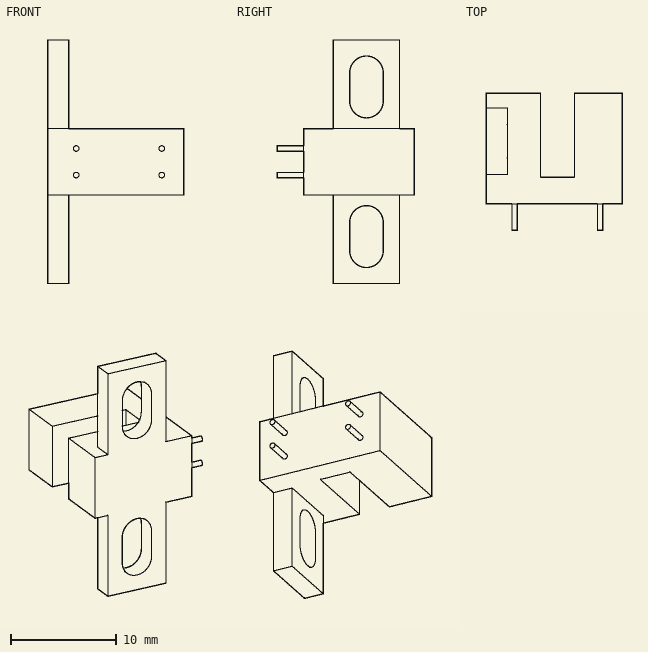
import cadquery as cq

body_width = 12.95
body_depth = 10.5
body_height = 6.32

gap_start = 5.19
gap_width = 3.2
gap_depth = 7.99

flange_height = 23.15
flange_width = 6.32
flange_thickness = 2.01
flange_front = 2.8
flange_center = flange_front + flange_width / 2

hole_width = 3.17
hole_length = 5.85
hole_offset = 7.1

lead_diameter = 0.53
lead_length = 2.52
lead_start = 2.7
lead_spacing_x = 8.13
lead_spacing_z = 2.52


def make_body():
    """U-shaped housing with a gap between its two arms."""
    block = cq.Workplane("XY").box(
        body_width, body_depth, body_height, centered=(False, False, True)
    )
    gap = (
        cq.Workplane("XY")
        .box(gap_width, gap_depth, body_height, centered=(False, False, True))
        .translate((gap_start, body_depth - gap_depth, 0))
    )
    return block.cut(gap)


def make_flange():
    """Upright plate with one elongated hole above and one below the body."""
    plate = (
        cq.Workplane("XY")
        .box(flange_thickness, flange_width, flange_height, centered=(False, True, True))
        .translate((0, flange_center, 0))
    )
    holes = (
        cq.Workplane("YZ")
        .pushPoints([(flange_center, -hole_offset), (flange_center, hole_offset)])
        .slot2D(hole_length, hole_width, 90)
        .extrude(flange_thickness)
    )
    return plate.cut(holes)


def make_leads():
    """Four round leads projecting from the front face."""
    lead_points = [
        (x, z)
        for x in (lead_start, lead_start + lead_spacing_x)
        for z in (-lead_spacing_z / 2, lead_spacing_z / 2)
    ]
    return (
        cq.Workplane("XZ")
        .pushPoints(lead_points)
        .circle(lead_diameter / 2)
        .extrude(lead_length)
    )


result = make_body().union(make_flange()).union(make_leads())